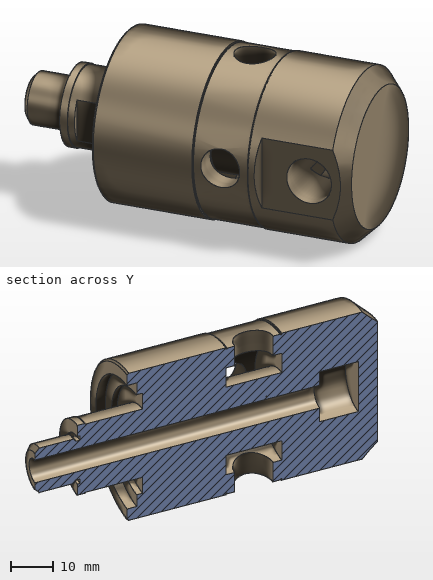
import cadquery as cq
import math

total_length = 89.0

nose_diameter = 13.1
nose_tip_diameter = 10.5
nose_tip_chamfer_length = 1.2
nose_undercut_diameter = 11.5
nose_taper_start = 10.15
nose_taper_end = 10.7
collar_diameter = 20.5
collar_start = 11.0
collar_end = 13.0
relief_diameter = 13.7
relief_depth = 0.7
shank_diameter = 20.0
flats_width = 17.0
flats_start = 14.8
flats_end = 22.9

body_diameter = 43.0
body_start = 23.9
front_chamfer = 0.45
rear_chamfer = 4.0
band_start = 49.7
band_end = 64.1
band_diameter = 42.5
edge_groove_width = 0.3
edge_groove_diameter = 42.1

outer_recess_diameter = 35.9
outer_recess_depth = 2.5
inner_recess_diameter = 29.0
inner_recess_depth = 4.0

radial_hole_diameter = 10.0
radial_hole_count = 4
ring_chamber_diameter = 31.0
ring_chamber_core_diameter = shank_diameter

flat_distance = 19.5
flat_start = 66.8
flat_slope_angle = 30.0
port_diameter = 11.5
port_x = 78.9
port_floor_y = -2.05
port_tip_angle = 30.0
bore_diameter = 6.5
cross_chamber_diameter = 14.4
cross_chamber_length = 10.0


def cylinder_x(diameter, start, end):
    """Solid cylinder about the X axis between two X positions."""
    return cq.Workplane("YZ", origin=(start, 0, 0)).circle(diameter / 2).extrude(end - start)


def ring_x(outer_diameter, inner_diameter, start, end):
    """Ring about the X axis between two X positions."""
    return cylinder_x(outer_diameter, start, end).cut(cylinder_x(inner_diameter, start, end))


def make_stem():
    relief_end = collar_start + relief_depth
    nose_profile = [
        (0, 0),
        (0, nose_tip_diameter / 2),
        (nose_tip_chamfer_length, nose_diameter / 2),
        (nose_taper_start, nose_diameter / 2),
        (nose_taper_end, nose_undercut_diameter / 2),
        (relief_end, nose_undercut_diameter / 2),
        (relief_end, 0),
    ]
    nose = cq.Workplane("XY").polyline(nose_profile).close().revolve(360, (0, 0, 0), (1, 0, 0))
    collar = cylinder_x(collar_diameter, collar_start, collar_end)
    collar = collar.cut(cylinder_x(relief_diameter, collar_start, relief_end))
    shank = cylinder_x(shank_diameter, collar_end, body_start + inner_recess_depth)
    flats_length = flats_end - flats_start
    flats_stock = cq.Workplane("XY").box(flats_length, body_diameter, body_diameter)
    flats_core = cq.Workplane("XY").box(flats_length, flats_width, body_diameter)
    flats_cut = flats_stock.cut(flats_core).translate(((flats_start + flats_end) / 2, 0, 0))
    return collar.union(nose).union(shank.cut(flats_cut))


def make_housing():
    housing = cylinder_x(body_diameter, body_start, total_length)
    housing = housing.faces("<X").chamfer(front_chamfer)
    housing = housing.faces(">X").chamfer(rear_chamfer)
    housing = housing.cut(ring_x(body_diameter, band_diameter, band_start, band_end))
    for groove_start in (band_start, band_end - edge_groove_width):
        groove_end = groove_start + edge_groove_width
        housing = housing.cut(ring_x(body_diameter, edge_groove_diameter, groove_start, groove_end))
    for diameter, depth in (
        (outer_recess_diameter, outer_recess_depth),
        (inner_recess_diameter, inner_recess_depth),
    ):
        housing = housing.cut(cylinder_x(diameter, body_start, body_start + depth))
    return housing


def make_ring_chamber():
    """Ring chamber and the radial holes that reach it through the band."""
    cutter = cylinder_x(ring_chamber_diameter, band_start, band_end)
    hole_x = (band_start + band_end) / 2
    hole = cq.Workplane("XY", origin=(hole_x, 0, 0)).circle(radial_hole_diameter / 2).extrude(body_diameter)
    for index in range(radial_hole_count):
        angle = index * 360 / radial_hole_count
        cutter = cutter.union(hole.rotate((0, 0, 0), (1, 0, 0), angle))
    return cutter.cut(cylinder_x(ring_chamber_core_diameter, band_start, band_end))


def make_port_flat():
    """Flat on the -Y side, ending in a slope that runs out through the body surface."""
    body_radius = body_diameter / 2
    slope_run = (body_radius - flat_distance) * math.tan(math.radians(flat_slope_angle))
    profile = [
        (flat_start, -flat_distance),
        (total_length, -flat_distance),
        (total_length, -body_radius),
        (flat_start - slope_run, -body_radius),
    ]
    return cq.Workplane("XY").polyline(profile).close().extrude(body_radius, both=True)


def make_port():
    """Drilled port with a conical tip."""
    radius = port_diameter / 2
    tip_y = port_floor_y + radius * math.tan(math.radians(port_tip_angle))
    profile = [
        (port_x, -body_diameter / 2),
        (port_x + radius, -body_diameter / 2),
        (port_x + radius, port_floor_y),
        (port_x, tip_y),
    ]
    return cq.Workplane("XY").polyline(profile).close().revolve(360, (port_x, 0, 0), (port_x, 1, 0))


def make_inner_passages():
    """Axial bore leading into the cylindrical chamber behind the port."""
    chamber_start = port_x - cross_chamber_length / 2
    chamber_end = port_x + cross_chamber_length / 2
    bore = cylinder_x(bore_diameter, 0, chamber_start)
    return bore.union(cylinder_x(cross_chamber_diameter, chamber_start, chamber_end))


result = (
    make_housing()
    .union(make_stem())
    .cut(make_ring_chamber())
    .cut(make_port_flat())
    .cut(make_port())
    .cut(make_inner_passages())
)